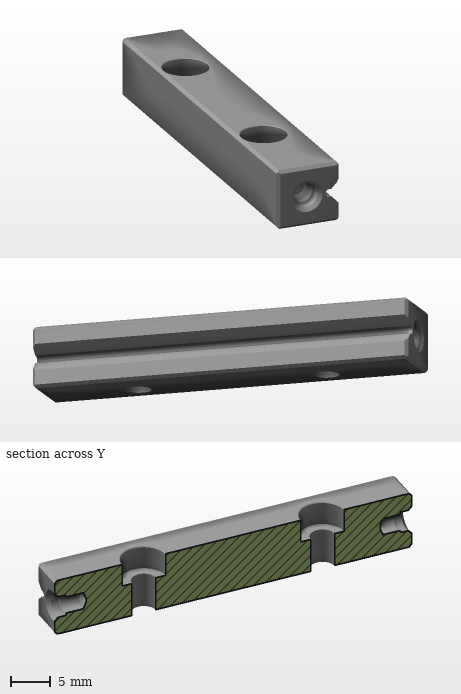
import cadquery as cq
import math

LENGTH = 50.0
WIDTH = 8.6
HEIGHT = 8.0
EDGE_CHAMFER = 0.4

GROOVE_OPENING = 3.4
RELIEF_WIDTH = 1.0
RELIEF_DEPTH = 2.0

MOUNT_SPACING = LENGTH / 2
MOUNT_TO_BACK = 3.5
MOUNT_DIAMETER = 3.3
COUNTERBORE_DIAMETER = 6.0
COUNTERBORE_DEPTH = 3.2
COUNTERBORE_CHAMFER = 0.1

END_HOLE_TO_BACK = 4.1
END_MOUTH_DIAMETER = 4.2
END_BORE_DIAMETER = 3.2
END_CORE_DIAMETER = 2.6
END_BORE_DEPTH = 1.5
END_CORE_DEPTH = 4.0
DRILL_POINT_ANGLE = 120.0

BACK_Y = -WIDTH / 2
GROOVE_Y = WIDTH / 2
TOP_Z = HEIGHT / 2


def rail_body():
    """Block whose edge chamfers meet in a point at each corner."""
    block = cq.Workplane("XY").box(LENGTH, WIDTH, HEIGHT)
    body = block
    for direction in ("|X", "|Y", "|Z"):
        body = body.intersect(block.edges(direction).chamfer(EDGE_CHAMFER))
    return body


def groove_cutter():
    """45-degree V that narrows to the relief slot, closed by a half-round bottom."""
    half_opening = GROOVE_OPENING / 2
    half_relief = RELIEF_WIDTH / 2
    flank_end_y = GROOVE_Y - (half_opening - half_relief)
    relief_bottom_y = GROOVE_Y - RELIEF_DEPTH
    relief_center_y = relief_bottom_y + half_relief
    return (
        cq.Workplane("YZ", origin=(-LENGTH / 2, 0, 0))
        .moveTo(GROOVE_Y, half_opening)
        .lineTo(flank_end_y, half_relief)
        .lineTo(relief_center_y, half_relief)
        .threePointArc((relief_bottom_y, 0), (relief_center_y, -half_relief))
        .lineTo(flank_end_y, -half_relief)
        .lineTo(GROOVE_Y, -half_opening)
        .close()
        .extrude(LENGTH)
    )


def mounting_hole_cutter(x):
    """Through hole, counterbore and the small chamfer around the counterbore mouth."""
    bore_radius = MOUNT_DIAMETER / 2
    counterbore_radius = COUNTERBORE_DIAMETER / 2
    profile = [
        (0, -HEIGHT),
        (bore_radius, -HEIGHT),
        (bore_radius, -COUNTERBORE_DEPTH),
        (counterbore_radius, -COUNTERBORE_DEPTH),
        (counterbore_radius, -COUNTERBORE_CHAMFER),
        (counterbore_radius + COUNTERBORE_CHAMFER, 0),
        (0, 0),
    ]
    cutter = cq.Workplane("XZ").polyline(profile).close().revolve(360, (0, 0), (0, 1))
    return cutter.translate((x, BACK_Y + MOUNT_TO_BACK, TOP_Z))


def end_hole_cutter():
    """Blind hole in the -X end: 45-degree mouth, bore and core, each ending in a drill-point cone."""
    mouth_radius = END_MOUTH_DIAMETER / 2
    bore_radius = END_BORE_DIAMETER / 2
    core_radius = END_CORE_DIAMETER / 2
    point_slope = math.tan(math.radians(DRILL_POINT_ANGLE / 2))
    profile = [
        (0, 0),
        (0, mouth_radius),
        (mouth_radius - bore_radius, bore_radius),
        (END_BORE_DEPTH, bore_radius),
        (END_BORE_DEPTH + (bore_radius - core_radius) / point_slope, core_radius),
        (END_CORE_DEPTH, core_radius),
        (END_CORE_DEPTH + core_radius / point_slope, 0),
    ]
    cutter = cq.Workplane("XY").polyline(profile).close().revolve(360, (0, 0), (1, 0))
    return cutter.translate((-LENGTH / 2, BACK_Y + END_HOLE_TO_BACK, 0))


result = rail_body().cut(groove_cutter())

for mount_x in (-MOUNT_SPACING / 2, MOUNT_SPACING / 2):
    result = result.cut(mounting_hole_cutter(mount_x))

end_hole = end_hole_cutter()
for cutter in (end_hole, end_hole.mirror("YZ")):
    result = result.cut(cutter)